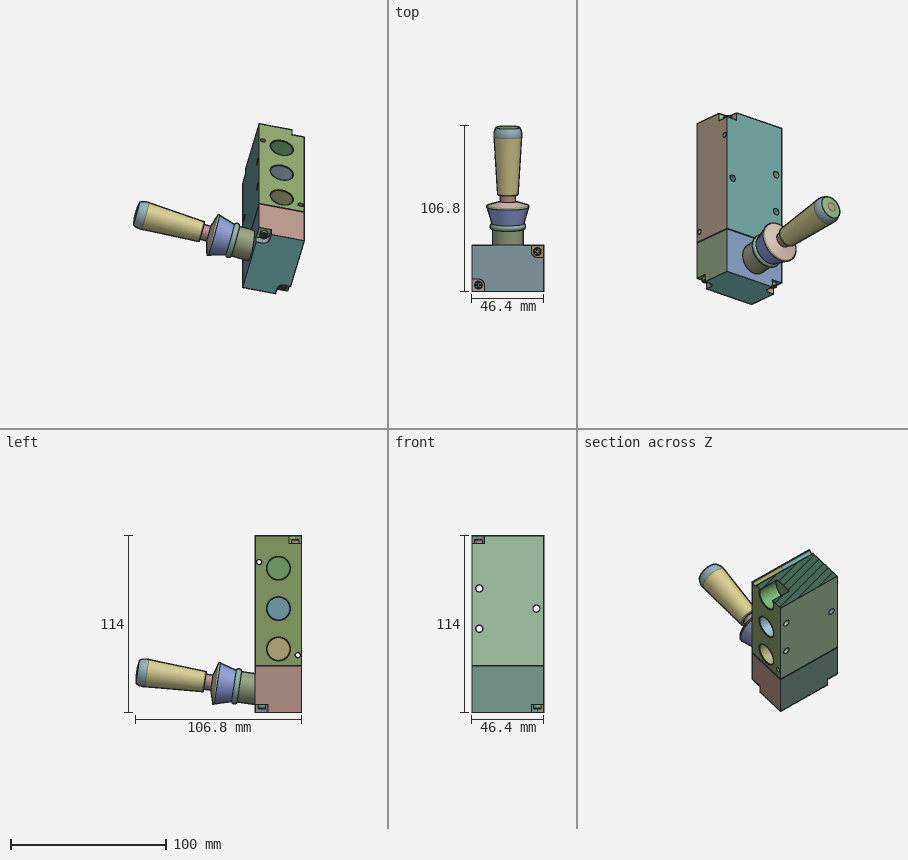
import cadquery as cq

BODY_WIDTH = 46.4
BODY_DEPTH = 30.0
BODY_HEIGHT = 114.0

POCKET_SIDE = 8.1
POCKET_CORNER_RADIUS = 4.1
POCKET_DEPTH = 5.1
SCREW_INSET = 4.2
SCREW_HEAD_DIAMETER = 5.0
SCREW_TOP_DIAMETER = 4.2
SCREW_HEAD_HEIGHT = 2.6
CROSS_LENGTH = 3.2
CROSS_WIDTH = 0.9
CROSS_DEPTH = 0.9

PORT_DIAMETER = 14.7
PORT_CHAMFER = 0.3
PORT_DEPTH = 13.7
PORT_SPACING = 26.0
MIDDLE_PORT_HEIGHT = 67.0

SIDE_HOLE_DIAMETER = 3.2
SIDE_HOLE_INSET = 2.5
SIDE_HOLE_OFFSET = 30.0
FRONT_HOLE_DIAMETER = 4.5
FRONT_HOLE_INSET = 4.8

GROOVE_HEIGHT = 30.0
GROOVE_WIDTH = 0.3
GROOVE_DEPTH = 0.1

LEVER_AXIS_HEIGHT = 15.2
LEVER_TILT = 8.4
LEVER_ROOT_DEPTH = 5.7
NECK_RADIUS = 20.0 / 2
BEAD_START = 10.3
BEAD_MIDDLE = 12.1
BEAD_OUTER_RADIUS = 11.5
CONE_START = 13.9
CONE_START_RADIUS = 10.4
RIM_START = 24.6
RIM_START_RADIUS = 13.5
RIM_MIDDLE = 25.3
RIM_RADIUS = 13.7
RIM_END = 25.8
RIM_END_RADIUS = 13.2
CONE_END = 28.3
ROD_RADIUS = 10.0 / 2
GRIP_START = 32.7
GRIP_START_RADIUS = 6.7
GRIP_START_ROUND = 0.6
GRIP_WIDEST = 70.6
GRIP_WIDEST_RADIUS = 9.0
CROWN_MIDDLE = 74.1
CROWN_MIDDLE_RADIUS = 8.8
GRIP_END = 76.5
GRIP_END_RADIUS = 7.6
TIP_FLAT_RADIUS = 3.0
TIP_RISE = 0.7


def make_body():
    return cq.Workplane("XY").box(BODY_WIDTH, BODY_DEPTH, BODY_HEIGHT, centered=(True, False, False))


def cut_gasket_groove(body):
    """Shallow groove running around all four sides."""
    groove = (
        cq.Workplane("XY", origin=(0, BODY_DEPTH / 2, GROOVE_HEIGHT))
        .rect(BODY_WIDTH, BODY_DEPTH)
        .rect(BODY_WIDTH - 2 * GROOVE_DEPTH, BODY_DEPTH - 2 * GROOVE_DEPTH)
        .extrude(GROOVE_WIDTH)
    )
    return body.cut(groove)


def cut_ports(body):
    """Blind round ports with a small entry chamfer, bored into the -X face."""
    chamfer_radius = PORT_DIAMETER / 2 + PORT_CHAMFER
    profile = [
        (0, 0),
        (chamfer_radius, 0),
        (PORT_DIAMETER / 2, PORT_CHAMFER),
        (PORT_DIAMETER / 2, PORT_DEPTH),
        (0, PORT_DEPTH),
    ]
    for step in (-1, 0, 1):
        height = MIDDLE_PORT_HEIGHT + step * PORT_SPACING
        entry = (-BODY_WIDTH / 2, BODY_DEPTH / 2, height)
        plane = cq.Plane(origin=entry, xDir=(0, 0, 1), normal=(0, 1, 0))
        port = cq.Workplane(plane).polyline(profile).close().revolve(360, (0, 0), (0, 1))
        body = body.cut(port)
    return body


def cut_through_holes(body):
    """Mounting holes running fully through the body along X and along Y."""
    side_points = [
        (BODY_DEPTH - SIDE_HOLE_INSET, MIDDLE_PORT_HEIGHT + SIDE_HOLE_OFFSET),
        (SIDE_HOLE_INSET, MIDDLE_PORT_HEIGHT - SIDE_HOLE_OFFSET),
    ]
    side_holes = (
        cq.Workplane("YZ")
        .pushPoints(side_points)
        .circle(SIDE_HOLE_DIAMETER / 2)
        .extrude(BODY_WIDTH, both=True)
    )
    hole_x = BODY_WIDTH / 2 - FRONT_HOLE_INSET
    front_points = [
        (-hole_x, MIDDLE_PORT_HEIGHT + PORT_SPACING / 2),
        (-hole_x, MIDDLE_PORT_HEIGHT - PORT_SPACING / 2),
        (hole_x, MIDDLE_PORT_HEIGHT),
    ]
    front_holes = (
        cq.Workplane("XZ")
        .pushPoints(front_points)
        .circle(FRONT_HOLE_DIAMETER / 2)
        .extrude(-BODY_DEPTH)
    )
    return body.cut(side_holes).cut(front_holes)


def make_pocket():
    """Cutter for the top pocket at the -X, -Y corner."""
    return (
        cq.Workplane("XY", origin=(-BODY_WIDTH / 2, 0, BODY_HEIGHT - POCKET_DEPTH))
        .rect(2 * POCKET_SIDE, 2 * POCKET_SIDE)
        .extrude(2 * POCKET_DEPTH)
        .edges("|Z")
        .fillet(POCKET_CORNER_RADIUS)
    )


def make_screw():
    """Chamfered, cross-slotted screw head standing in the top -X, -Y pocket."""
    chamfer = (SCREW_HEAD_DIAMETER - SCREW_TOP_DIAMETER) / 2
    head = (
        cq.Workplane("XY", origin=(SCREW_INSET - BODY_WIDTH / 2, SCREW_INSET, BODY_HEIGHT - POCKET_DEPTH))
        .circle(SCREW_HEAD_DIAMETER / 2)
        .extrude(SCREW_HEAD_HEIGHT)
        .faces(">Z")
        .chamfer(chamfer)
    )
    top = head.faces(">Z").workplane()
    head = top.rect(CROSS_LENGTH, CROSS_WIDTH).cutBlind(-CROSS_DEPTH)
    top = head.faces(">Z").workplane()
    return top.rect(CROSS_WIDTH, CROSS_LENGTH).cutBlind(-CROSS_DEPTH)


def at_four_corners(shape):
    """Repeat a top -X, -Y corner shape at the opposite top corner and the two crossed bottom corners."""
    centre = cq.Vector(0, BODY_DEPTH / 2, BODY_HEIGHT / 2)
    copies = []
    for axis in (cq.Vector(0, 0, 1.1), cq.Vector(1.1, 0, 0), cq.Vector(0, 1.1, 0)):
        copies.append(shape.rotate(centre, centre + axis, 180))
    return [shape] + copies


def make_lever():
    """Handle of revolution, tilted upwards out of the back face."""
    profile = (
        cq.Workplane("XY")
        .moveTo(0, -LEVER_ROOT_DEPTH)
        .lineTo(NECK_RADIUS, -LEVER_ROOT_DEPTH)
        .lineTo(NECK_RADIUS, BEAD_START)
        .threePointArc((BEAD_OUTER_RADIUS, BEAD_MIDDLE), (CONE_START_RADIUS, CONE_START))
        .lineTo(RIM_START_RADIUS, RIM_START)
        .threePointArc((RIM_RADIUS, RIM_MIDDLE), (RIM_END_RADIUS, RIM_END))
        .lineTo(ROD_RADIUS, CONE_END)
        .lineTo(ROD_RADIUS, GRIP_START)
        .lineTo(GRIP_START_RADIUS - GRIP_START_ROUND, GRIP_START)
        .radiusArc((GRIP_START_RADIUS, GRIP_START + GRIP_START_ROUND), -GRIP_START_ROUND)
        .lineTo(GRIP_WIDEST_RADIUS, GRIP_WIDEST)
        .threePointArc((CROWN_MIDDLE_RADIUS, CROWN_MIDDLE), (GRIP_END_RADIUS, GRIP_END))
        .lineTo(TIP_FLAT_RADIUS, GRIP_END + TIP_RISE)
        .lineTo(0, GRIP_END + TIP_RISE)
        .close()
    )
    lever = profile.revolve(360, (0, 0), (0, 1))
    return lever.rotate((0, 0, 0), (1, 0, 0), LEVER_TILT).translate((0, BODY_DEPTH, LEVER_AXIS_HEIGHT))


body = make_body()
body = cut_gasket_groove(body)
for pocket in at_four_corners(make_pocket()):
    body = body.cut(pocket)
for screw in at_four_corners(make_screw()):
    body = body.union(screw)
body = cut_ports(body)
body = cut_through_holes(body)
result = body.union(make_lever())